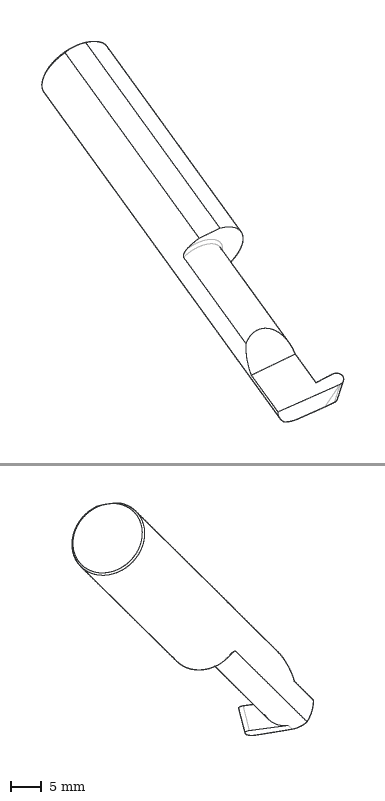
import cadquery as cq
import math

total_length = 76.2
shank_diameter = 12.7
shank_radius = shank_diameter / 2
shank_length = 43.2
flat_height = 6.04
shank_chamfer = 0.3

neck_radius = 4.5
neck_side_y = 1.95
neck_center_y = neck_side_y - neck_radius
neck_root_fillet = 0.5

face_length = 8.9
face_start_x = total_length - face_length
runout_angle = 45.0

tooth_width = 2.4
tooth_radius = tooth_width / 2
tip_center_y = shank_radius - tooth_radius
side_relief_angle = 2.0
side_relief = math.tan(math.radians(side_relief_angle))
tooth_depth = neck_radius
clearance_angle = 14.0
tip_clearance = tooth_depth * math.tan(math.radians(clearance_angle))
side_clearance = 0.1


def x_cylinder(radius, start_x, end_x):
    """Round bar along the X axis."""
    start_plane = cq.Workplane("YZ", origin=(start_x, 0, 0))
    return start_plane.circle(radius).extrude(end_x - start_x)


def make_shank():
    bar = x_cylinder(shank_radius, 0, shank_length).faces("<X").chamfer(shank_chamfer)
    flat_plane = cq.Workplane("XY", origin=(shank_length / 2, 0, flat_height))
    above_flat = flat_plane.rect(shank_length, shank_diameter).extrude(shank_radius)
    return bar.cut(above_flat)


def make_neck():
    """Offset bar flaring into the shank, kept inside the shank diameter."""
    flare_end_x = shank_length + neck_root_fillet
    arc_offset = neck_root_fillet * (1 - math.sqrt(0.5))
    profile = (
        cq.Workplane("XY", origin=(0, neck_center_y, 0))
        .moveTo(shank_length, 0)
        .lineTo(shank_length, neck_radius + neck_root_fillet)
        .threePointArc(
            (shank_length + arc_offset, neck_radius + arc_offset),
            (flare_end_x, neck_radius),
        )
        .lineTo(total_length, neck_radius)
        .lineTo(total_length, 0)
        .close()
    )
    neck = profile.revolve(360, (0, 0, 0), (1, 0, 0))
    return neck.intersect(x_cylinder(shank_radius, shank_length, total_length))


def make_face_cut():
    """Material above the cutting face and its sloping run-out."""
    runout_length = shank_radius / math.tan(math.radians(runout_angle))
    return (
        cq.Workplane("XZ")
        .moveTo(face_start_x, 0)
        .lineTo(total_length, 0)
        .lineTo(total_length, shank_radius)
        .lineTo(face_start_x - runout_length, shank_radius)
        .close()
        .extrude(shank_radius, both=True)
    )


def make_end_relief():
    """Wedge that slants the end face back from the tooth towards -Y."""
    relief_length = (tip_center_y + shank_radius) * side_relief
    return (
        cq.Workplane("XY")
        .moveTo(total_length, tip_center_y)
        .lineTo(total_length, -shank_radius)
        .lineTo(total_length - relief_length, -shank_radius)
        .close()
        .extrude(shank_radius, both=True)
    )


def make_tooth():
    """Tooth that narrows below the cutting face for clearance."""
    tip_center_x = total_length - tooth_radius
    base_relief = (tip_center_y - neck_center_y) * side_relief

    def outline(workplane, radius, center_y):
        return (
            workplane.moveTo(tip_center_x - radius + base_relief, neck_center_y)
            .lineTo(tip_center_x - radius, center_y)
            .threePointArc((tip_center_x, center_y + radius), (tip_center_x + radius, center_y))
            .lineTo(tip_center_x + radius, neck_center_y)
            .close()
        )

    top = outline(cq.Workplane("XY"), tooth_radius, tip_center_y)
    lower_radius = tooth_radius - side_clearance
    lower_center_y = tip_center_y - tip_clearance + side_clearance
    return outline(top.workplane(offset=-tooth_depth), lower_radius, lower_center_y).loft(ruled=True)


head = make_neck().cut(make_face_cut()).union(make_tooth()).cut(make_end_relief())
result = make_shank().union(head)